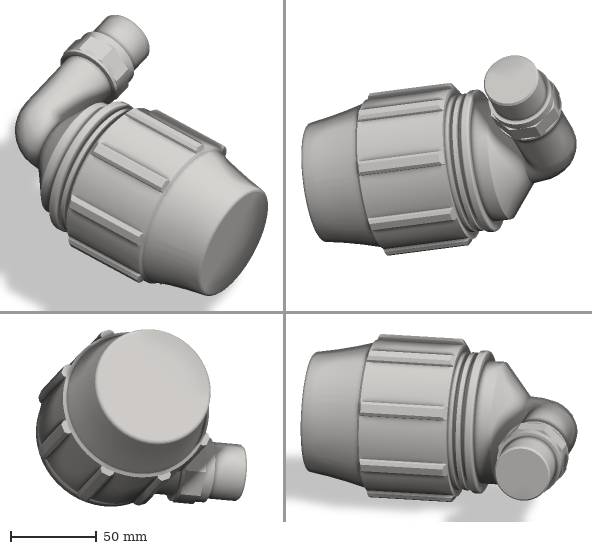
import cadquery as cq
import math


total_length = 164.0
flange_dia = 39.8
nut_end_x = total_length - flange_dia / 2
branch_tip_y = 94.1

pipe_dia = 33.3
collar_dia = 38.2
flange_y = 54.0
flange_thickness = 2.0
collar_y = 68.0
collar_length = 5.7
octagon_sides = 8
tip_chamfer_length = 1.3
tip_chamfer_depth = 1.0

bend_radius = 13.5

cone_start_x = 14.6
cone_end_x = 30.5
neck_dia = 72.0

big_ring_dia = 84.0
big_ring_x = 40.2
big_ring_width = 5.0
big_ring_rounding = 1.1
thin_ring_dia = 81.0
thin_ring_width = 2.5
thin_ring_starts = (47.7, 52.6)

nut_dia = 89.2
nut_start_x = 55.1
nut_rim_x = 107.2
nut_rim_chamfer = 1.5
taper_start_dia = 85.5
taper_end_dia = 70.2
taper_hollow = 0.7
nut_end_rounding = 2.0

rib_count = 8
rib_base_width = 8.2
rib_top_width = 5.0
rib_top_radius = 47.9
rib_shoulder_radius = 46.0
rib_root_radius = 43.0
rib_front_slope = 2.3
rib_back_slope = 1.0


def x_cylinder(start, length, dia):
    return cq.Workplane("YZ", origin=(start, 0, 0)).circle(dia / 2).extrude(length)


def y_cylinder(start, length, dia):
    return cq.Workplane("XZ", origin=(0, start, 0)).circle(dia / 2).extrude(-length)


def make_elbow():
    pipe_radius = pipe_dia / 2
    half_chord = math.sqrt(pipe_radius**2 - bend_radius**2)
    section = (
        cq.Workplane("XZ", origin=(0, bend_radius, 0))
        .moveTo(bend_radius, half_chord)
        .threePointArc((-pipe_radius, 0), (bend_radius, -half_chord))
        .close()
    )
    bend = section.revolve(90, (bend_radius, 0, 0), (bend_radius, 1, 0))
    return bend.union(x_cylinder(bend_radius, cone_start_x - bend_radius, pipe_dia))


def make_branch():
    pipe_radius = pipe_dia / 2
    pipe = (
        cq.Workplane("XY")
        .moveTo(0, bend_radius)
        .lineTo(pipe_radius, bend_radius)
        .lineTo(pipe_radius, branch_tip_y - tip_chamfer_length)
        .lineTo(pipe_radius - tip_chamfer_depth, branch_tip_y)
        .lineTo(0, branch_tip_y)
        .close()
        .revolve(360, (0, 0, 0), (0, 1, 0))
    )
    flange = y_cylinder(flange_y, flange_thickness, flange_dia)
    collar = y_cylinder(collar_y, collar_length, collar_dia)
    octagon_y = flange_y + flange_thickness
    octagon = (
        cq.Workplane("XZ", origin=(0, octagon_y, 0))
        .polygon(octagon_sides, collar_dia, circumscribed=True)
        .extrude(octagon_y - collar_y)
    )
    return pipe.union(flange).union(octagon).union(collar)


def make_neck():
    neck = (
        cq.Workplane("XY")
        .moveTo(cone_start_x, 0)
        .lineTo(cone_start_x, pipe_dia / 2)
        .lineTo(cone_end_x, neck_dia / 2)
        .lineTo(nut_start_x, neck_dia / 2)
        .lineTo(nut_start_x, 0)
        .close()
        .revolve(360, (0, 0, 0), (1, 0, 0))
    )
    big_ring = x_cylinder(big_ring_x, big_ring_width, big_ring_dia).edges().fillet(big_ring_rounding)
    neck = neck.union(big_ring)
    for start in thin_ring_starts:
        neck = neck.union(x_cylinder(start, thin_ring_width, thin_ring_dia))
    return neck


def make_nut():
    taper_start_x = nut_rim_x + nut_rim_chamfer
    taper_middle_x = (taper_start_x + nut_end_x) / 2
    taper_middle_radius = (taper_start_dia + taper_end_dia) / 4 - taper_hollow
    nut = (
        cq.Workplane("XY")
        .moveTo(nut_start_x, 0)
        .lineTo(nut_start_x, nut_dia / 2)
        .lineTo(nut_rim_x, nut_dia / 2)
        .lineTo(taper_start_x, taper_start_dia / 2)
        .threePointArc((taper_middle_x, taper_middle_radius), (nut_end_x, taper_end_dia / 2))
        .lineTo(nut_end_x, 0)
        .close()
        .revolve(360, (0, 0, 0), (1, 0, 0))
    )
    return nut.faces(">X").edges().fillet(nut_end_rounding)


def make_rib():
    section = (
        cq.Workplane("YZ", origin=(nut_start_x, 0, 0))
        .moveTo(-rib_base_width / 2, rib_root_radius)
        .lineTo(-rib_base_width / 2, rib_shoulder_radius)
        .lineTo(-rib_top_width / 2, rib_top_radius)
        .lineTo(rib_top_width / 2, rib_top_radius)
        .lineTo(rib_base_width / 2, rib_shoulder_radius)
        .lineTo(rib_base_width / 2, rib_root_radius)
        .close()
        .extrude(nut_rim_x - nut_start_x)
    )
    side_outline = (
        cq.Workplane("XZ")
        .moveTo(nut_start_x, rib_root_radius)
        .lineTo(nut_start_x, nut_dia / 2)
        .lineTo(nut_start_x + rib_front_slope, rib_top_radius)
        .lineTo(nut_rim_x - rib_back_slope, rib_top_radius)
        .lineTo(nut_rim_x, nut_dia / 2)
        .lineTo(nut_rim_x, rib_root_radius)
        .close()
        .extrude(rib_base_width, both=True)
    )
    return section.intersect(side_outline)


result = make_neck().union(make_nut()).union(make_elbow()).union(make_branch())
rib = make_rib()
rib_spacing = 360 / rib_count
for index in range(rib_count):
    rib_angle = (index + 0.5) * rib_spacing
    result = result.union(rib.rotate((0, 0, 0), (1, 0, 0), rib_angle))